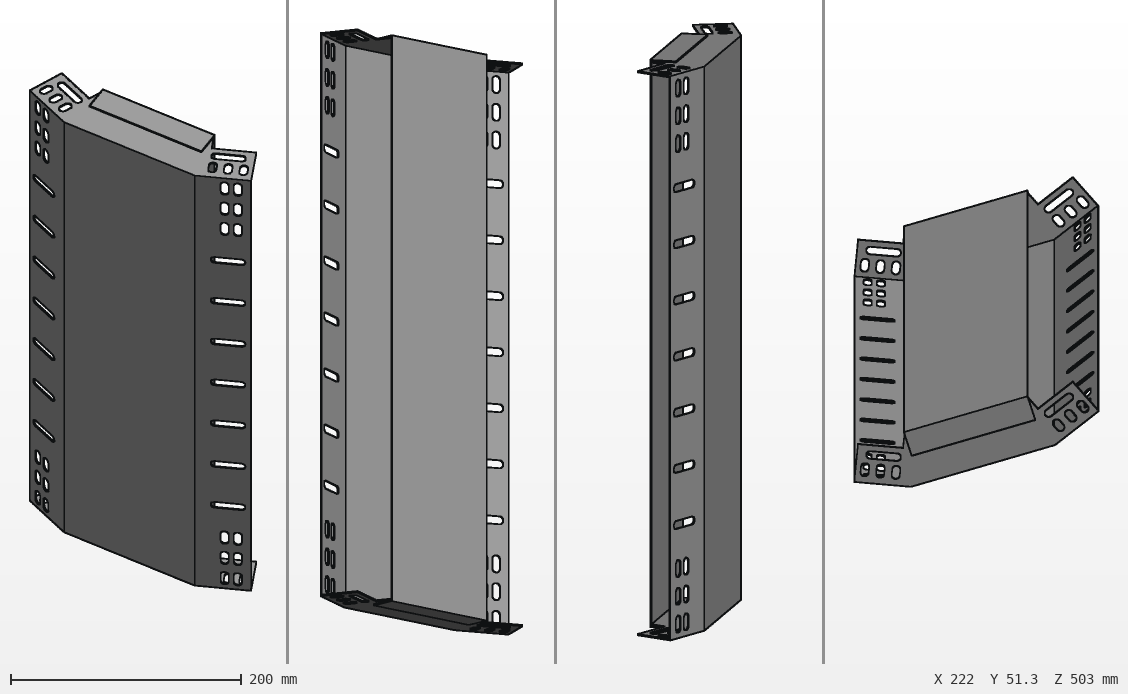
import cadquery as cq
import math

total_height = 503.0
total_width = 222.0
sheet = 1.25

wing_length = 49.5
wing_angle = 22.5
wing_flange_depth = 35.0
notch_offset = 39.0
cover_back = 51.0
tray_height = total_height - 2 * sheet
wing_cos = math.cos(math.radians(wing_angle))
wing_sin = math.sin(math.radians(wing_angle))
tip_x = total_width / 2
tip_y = wing_length * wing_sin
bend_x = tip_x - wing_length * wing_cos
tray_back = cover_back - sheet

cover_width = 112.0
lip_depth = 23.0

slot_width = 7.0
long_slot = 30.0
cross_slot_count = 7
cross_slot_pitch = 50.0
cross_slot_offset = 20.0
end_slot = 15.0
end_slot_offsets = (11.5, 23.0)
end_slot_inset = 12.5
end_slot_pitch = 24.5
end_slot_rows = 3
flange_slot = 12.0
flange_slot_count = 3
flange_slot_offset = 8.0
flange_slot_pitch = 13.5
flange_slot_depth = 12.0
flange_long_offset = 23.0
flange_long_depth = 26.0
cut_length = 4 * sheet


def wing_point(along, depth):
    """Right-hand point: along the wing from its tip, then square to it."""
    return (
        tip_x - along * wing_cos - depth * wing_sin,
        tip_y - along * wing_sin + depth * wing_cos,
    )


def mirrored_outline(right_side):
    """Closed outline from points on the right side, mirrored about X = 0."""
    left_side = [(-x, y) for x, y in reversed(right_side)]
    return cq.Workplane("XY").polyline(right_side + left_side).close()


def wing_slot(along, z, length, turn):
    """Cutter through the right wing; turn 0 lies across it, 90 upright."""
    x, y = wing_point(along, 0)
    plane = cq.Plane(origin=(x, y, z), xDir=(wing_cos, wing_sin, 0), normal=(wing_sin, -wing_cos, 0))
    return cq.Workplane(plane).slot2D(length, slot_width, turn).extrude(cut_length / 2, both=True)


def flange_slot_cutter(along, depth, length, turn):
    """Cutter through both right wing flanges, turned from the wing direction."""
    x, y = wing_point(along, depth)
    return (
        cq.Workplane("XY", origin=(x, y, 0))
        .slot2D(length, slot_width, wing_angle + turn)
        .extrude(total_height / 2, both=True)
    )


def right_side_slots():
    """Cutters for every slot on the X > 0 side of the tray."""
    slots = []
    for i in range(cross_slot_count):
        z = (i - (cross_slot_count - 1) / 2) * cross_slot_pitch
        slots.append(wing_slot(cross_slot_offset, z, long_slot, 0))
    for row in range(end_slot_rows):
        z = tray_height / 2 - end_slot_inset - row * end_slot_pitch
        for along in end_slot_offsets:
            slots.append(wing_slot(along, z, end_slot, 90))
            slots.append(wing_slot(along, -z, end_slot, 90))
    for i in range(flange_slot_count):
        along = flange_slot_offset + i * flange_slot_pitch
        slots.append(flange_slot_cutter(along, flange_slot_depth, flange_slot, 90))
    slots.append(flange_slot_cutter(flange_long_offset, flange_long_depth, long_slot, 0))
    return slots


def make_tray():
    notch_x, notch_y = wing_point(notch_offset, wing_flange_depth)
    shoulder_x = notch_x - (tray_back - notch_y) * wing_sin / wing_cos
    flange_outline = [
        (bend_x, 0),
        (tip_x, tip_y),
        wing_point(0, wing_flange_depth),
        (notch_x, notch_y),
        (shoulder_x, tray_back),
    ]
    inner_bend_x = bend_x - sheet * math.tan(math.radians(wing_angle / 2))
    panel_outline = [
        (bend_x, 0),
        (tip_x, tip_y),
        wing_point(0, sheet),
        (inner_bend_x, sheet),
    ]
    tray = (
        mirrored_outline(panel_outline)
        .extrude(tray_height)
        .translate((0, 0, -tray_height / 2))
    )
    for bottom in (-tray_height / 2, tray_height / 2 - sheet):
        flange = mirrored_outline(flange_outline).extrude(sheet)
        tray = tray.union(flange.translate((0, 0, bottom)))
    for slot in right_side_slots():
        tray = tray.cut(slot).cut(slot.mirror("YZ"))
    return tray


def make_cover():
    block = cq.Workplane("XY").box(cover_width, lip_depth, total_height)
    hollow = cq.Workplane("XY").box(cover_width, lip_depth, tray_height).translate((0, -sheet, 0))
    return block.cut(hollow).translate((0, cover_back - lip_depth / 2, 0))


tray = make_tray()
cover = make_cover()
result = cq.Compound.makeCompound([tray.val(), cover.val()])